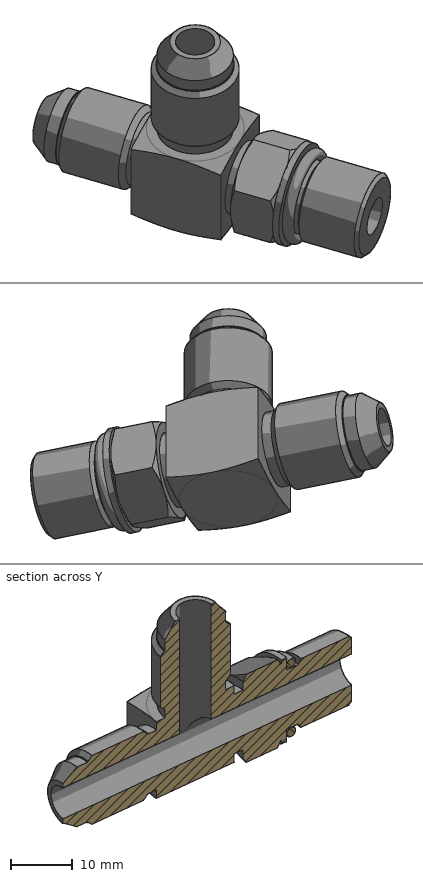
import cadquery as cq
import math

overall_length = 58.65
port_reach = 26.9
straight_reach = overall_length - port_reach
bore_radius = 3.15
thread_radius = 7.15
neck_radius = 6.2

nose_radius = 4.1
cone_length = 2.9
thread_start = 5.0
port_chamfer = thread_radius - neck_radius
land_radius = 6.35
land_length = 0.145
thread_end = 17.35

block_size = 15.9
block_half = block_size / 2
block_chamfer_angle = 15.0

hex_flats = 15.85
hex_corner_radius = hex_flats / math.sqrt(3)
hex_face_radius = hex_flats / 2
hex_chamfer_angle = 30.0
hex_start = 9.6
hex_length = 7.8
hex_end = hex_start + hex_length
washer_radius = 8.71
washer_thickness = 1.1
washer_end = hex_end + washer_thickness

cord_radius = 0.95
ring_radius = neck_radius + cord_radius
ring_center = washer_end + cord_radius

straight_thread_start = 21.4
lead_in_length = 0.5
end_chamfer = 0.6


def turned(points):
    """Revolve a half profile of (station, radius) points about the X axis."""
    return cq.Workplane("XY").polyline(points).close().revolve(360, (0, 0, 0), (1, 0, 0))


def flare_port():
    """Flare port pointing towards -X, starting at the axis crossing."""
    nose = -port_reach
    return turned([
        (nose, 0),
        (nose, nose_radius),
        (nose + cone_length, neck_radius),
        (nose + thread_start, neck_radius),
        (nose + thread_start, land_radius),
        (nose + thread_start + land_length, land_radius),
        (nose + thread_start + port_chamfer, thread_radius),
        (nose + thread_end - port_chamfer, thread_radius),
        (nose + thread_end, neck_radius),
        (0, neck_radius),
        (0, 0),
    ])


def center_block():
    """Cube whose top and bottom corners are trimmed by shallow cones."""
    cube = cq.Workplane("XY").box(block_size, block_size, block_size)
    corner_radius = block_half * math.sqrt(2)
    corner_drop = (corner_radius - block_half) * math.tan(math.radians(block_chamfer_angle))
    envelope = (
        cq.Workplane("XZ")
        .polyline([
            (0, -block_half),
            (block_half, -block_half),
            (corner_radius, corner_drop - block_half),
            (corner_radius, block_half - corner_drop),
            (block_half, block_half),
            (0, block_half),
        ])
        .close()
        .revolve(360, (0, 0, 0), (0, 1, 0))
    )
    return cube.intersect(envelope)


def hexagon():
    """Hexagon with corners up and down, chamfered at both ends."""
    prism = (
        cq.Workplane("YZ", origin=(hex_start, 0, 0))
        .polygon(6, 2 * hex_corner_radius)
        .extrude(hex_length)
        .rotate((0, 0, 0), (1, 0, 0), 90)
    )
    chamfer = (hex_corner_radius - hex_face_radius) * math.tan(math.radians(hex_chamfer_angle))
    envelope = turned([
        (hex_start, 0),
        (hex_start, hex_face_radius),
        (hex_start + chamfer, hex_corner_radius),
        (hex_end - chamfer, hex_corner_radius),
        (hex_end, hex_face_radius),
        (hex_end, 0),
    ])
    return prism.intersect(envelope)


def straight_end():
    """Stem, washer flange, O-ring seat and straight thread towards +X."""
    return turned([
        (0, 0),
        (0, neck_radius),
        (hex_end, neck_radius),
        (hex_end, washer_radius),
        (washer_end, washer_radius),
        (washer_end, neck_radius),
        (straight_thread_start - lead_in_length, neck_radius),
        (straight_thread_start, thread_radius),
        (straight_reach - end_chamfer, thread_radius),
        (straight_reach, thread_radius - end_chamfer),
        (straight_reach, 0),
    ])


def tee_body():
    run_port = flare_port()
    branch_port = flare_port().rotate((0, 0, 0), (0, 1, 0), 90)
    outside = center_block().union(run_port).union(branch_port).union(straight_end()).union(hexagon())
    run_bore = cq.Workplane("YZ", origin=(-port_reach, 0, 0)).circle(bore_radius).extrude(overall_length)
    branch_bore = cq.Workplane("XY").circle(bore_radius).extrude(port_reach)
    return outside.cut(run_bore).cut(branch_bore)


def o_ring():
    return (
        cq.Workplane("XY")
        .center(ring_center, ring_radius)
        .circle(cord_radius)
        .revolve(360, (0, -ring_radius, 0), (1, -ring_radius, 0))
    )


tee = tee_body()
seal = o_ring()
result = cq.Compound.makeCompound([tee.val(), seal.val()])